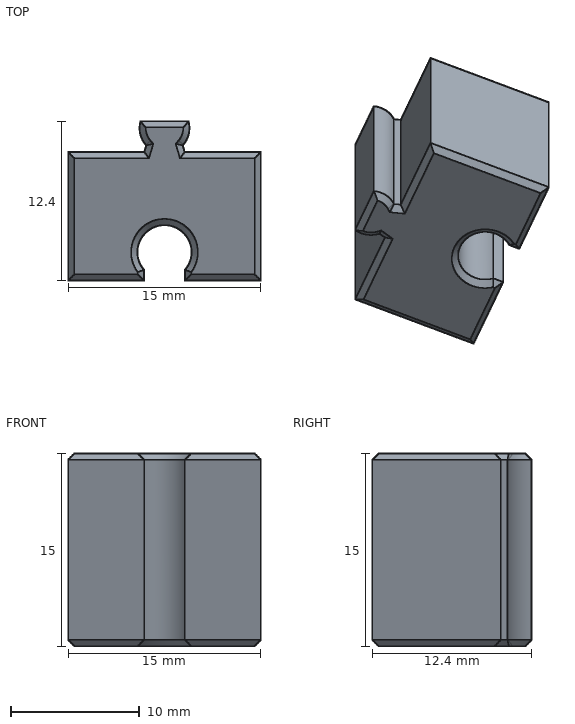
import cadquery as cq
import math

width = 15.0
height = 15.0
body_depth = 10.0
total_depth = 12.4
chamfer = 0.5

socket_radius = 2.1
socket_center_y = 2.2
slot_half_width = 1.59

head_radius = 1.95
head_center_y = 11.85
head_end_y = 10.58
waist_y = 10.52
waist_half_width = 1.42
neck_base_half_width = 1.58


def half_chord(radius, offset):
    """Half the width of a circle at the given distance from its center."""
    return math.sqrt(radius**2 - offset**2)


def outline():
    """Closed plan outline of the block with its socket and tab."""
    half_width = width / 2
    mouth_y = socket_center_y - half_chord(socket_radius, slot_half_width)
    head_end_x = half_chord(head_radius, head_center_y - head_end_y)
    head_back_x = half_chord(head_radius, total_depth - head_center_y)
    return (
        cq.Workplane("XY")
        .moveTo(-half_width, 0)
        .lineTo(-slot_half_width, 0)
        .lineTo(-slot_half_width, mouth_y)
        .threePointArc((0, socket_center_y + socket_radius), (slot_half_width, mouth_y))
        .lineTo(slot_half_width, 0)
        .lineTo(half_width, 0)
        .lineTo(half_width, body_depth)
        .lineTo(neck_base_half_width, body_depth)
        .lineTo(waist_half_width, waist_y)
        .lineTo(head_end_x, head_end_y)
        .threePointArc((head_radius, head_center_y), (head_back_x, total_depth))
        .lineTo(-head_back_x, total_depth)
        .threePointArc((-head_radius, head_center_y), (-head_end_x, head_end_y))
        .lineTo(-waist_half_width, waist_y)
        .lineTo(-neck_base_half_width, body_depth)
        .lineTo(-half_width, body_depth)
        .close()
    )


block = outline().extrude(height)

result = block.faces("<Z or >Z").chamfer(chamfer)